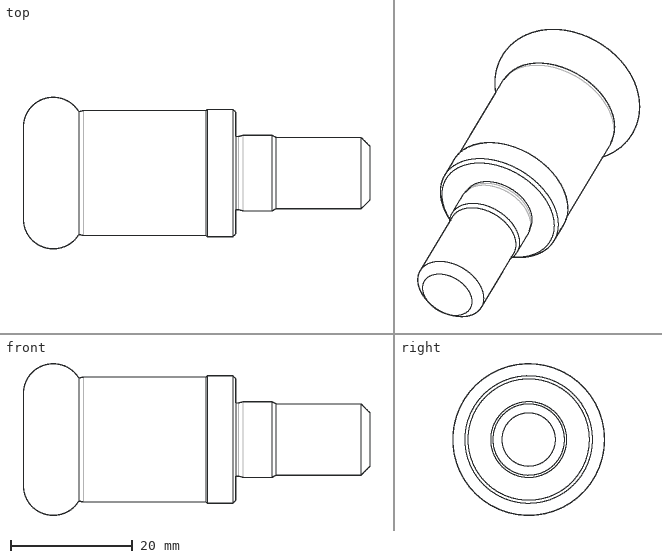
import cadquery as cq

bumper_outer_radius = 12.5
tube_radius = 4.93
ring_radius = bumper_outer_radius - tube_radius
floor_depth = 2.95

barrel_start = 9.1
barrel_radius = 20.6 / 2
barrel_lead_length = 0.75
barrel_lead_height = 0.15

collar_radius = 21.0 / 2
collar_start = 30.05
collar_end = 34.95
collar_chamfer = 0.5
collar_lead = collar_radius - barrel_radius

neck_radius = 6.05
neck_end = 35.4
land_radius = 12.5 / 2
land_start = 36.15
land_end = 40.85
stud_radius = 11.75 / 2
stud_start = 41.55
stud_end = 57.0
stud_chamfer = 1.5


def make_bumper():
    """Round ring with a dished front, filled behind its floor and cut flat where it meets the barrel."""
    ring = cq.Workplane("XY").center(tube_radius, ring_radius).circle(tube_radius)
    ring = ring.revolve(360, (0, -ring_radius), (1, -ring_radius))
    core = cq.Workplane("YZ", origin=(floor_depth, 0, 0)).circle(ring_radius)
    core = core.extrude(barrel_start - floor_depth)
    behind_seat = cq.Workplane("YZ", origin=(barrel_start, 0, 0)).circle(bumper_outer_radius)
    behind_seat = behind_seat.extrude(2 * tube_radius)
    return ring.union(core).cut(behind_seat)


def make_pin():
    """Stepped pin: barrel, collar, locating land and chamfered stud."""
    profile = [
        (barrel_start, 0),
        (barrel_start, barrel_radius - barrel_lead_height),
        (barrel_start + barrel_lead_length, barrel_radius),
        (collar_start, barrel_radius),
        (collar_start + collar_lead, collar_radius),
        (collar_end - collar_chamfer, collar_radius),
        (collar_end, collar_radius - collar_chamfer),
        (collar_end, neck_radius),
        (neck_end, neck_radius),
        (land_start, land_radius),
        (land_end, land_radius),
        (stud_start, stud_radius),
        (stud_end - stud_chamfer, stud_radius),
        (stud_end, stud_radius - stud_chamfer),
        (stud_end, 0),
    ]
    return cq.Workplane("XY").polyline(profile).close().revolve(360, (0, 0), (1, 0))


bumper = make_bumper()
pin = make_pin()

result = cq.Compound.makeCompound([bumper.val(), pin.val()])